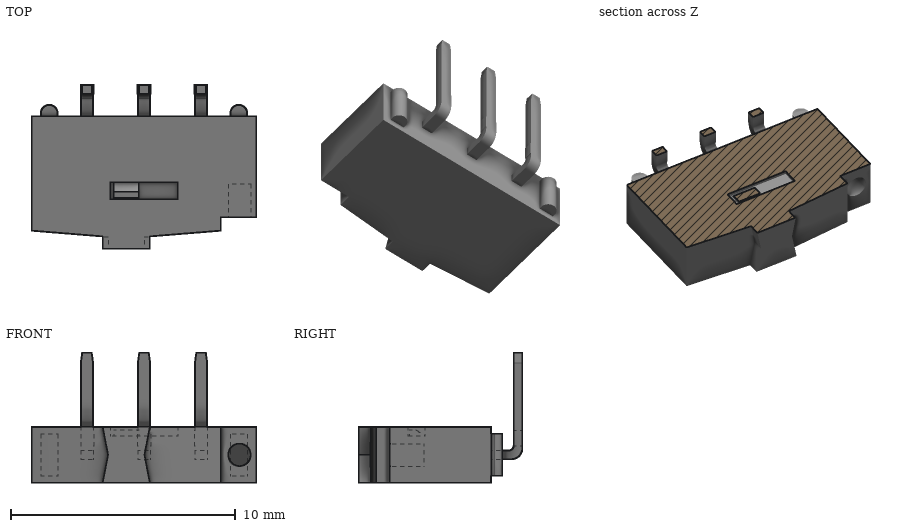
import cadquery as cq


length = 10.0
housing_depth = 4.5
height = 2.5
mid_height = height / 2

hole_diameter = 1.0
hole_depth = 1.5
hole_from_right = 0.75

slider_length = 8.42
slider_edge_depth = 0.6
slider_center_depth = 0.94
slider_center = -length / 2 + slider_length / 2
knob_reach = 1.4
knob_width = 2.1
knob_waist = 1.62

window_length = 3.02
window_width = 0.76
window_front = 0.8
window_floor_depth = 0.4
tab_length = 1.12
tab_from_window_end = 0.16
tab_height = 0.27
tab_ramp_run = 0.42
tab_front_gap = 0.06

peg_width = 0.75
peg_reach = 0.51
peg_side_reach = 0.15
peg_height = 1.88
peg_spacing = 8.44

terminal_pitch = 2.54
terminal_width = 0.55
terminal_thickness = 0.4
terminal_reach = 1.4
terminal_top = 5.8
bend_inner_radius = 0.2
bend_outer_radius = 0.5
tip_width = 0.43
tip_length = 0.44

bump_reach = 0.025
bump_height = 0.7


def box(x_start, y_start, z_start, x_size, y_size, z_size):
    """Box placed by its lowest corner."""
    return cq.Workplane("XY").box(x_size, y_size, z_size, centered=False).translate((x_start, y_start, z_start))


def make_housing():
    housing = box(-length / 2, 0, 0, length, housing_depth, height)
    window = box(-window_length / 2, window_front, height - window_floor_depth,
                 window_length, window_width, window_floor_depth)
    hole = (
        cq.Workplane("XZ")
        .center(length / 2 - hole_from_right, mid_height)
        .circle(hole_diameter / 2)
        .extrude(-hole_depth)
    )
    return housing.cut(window).cut(hole)


def make_tab():
    """Tab on the window floor: flat at the front, ramping down to the rear wall."""
    floor = height - window_floor_depth
    top = floor + tab_height
    front = window_front + tab_front_gap
    rear = window_front + window_width
    return (
        cq.Workplane("YZ", origin=(-window_length / 2 + tab_from_window_end, 0, 0))
        .moveTo(front, floor)
        .lineTo(front, top)
        .lineTo(rear - tab_ramp_run, top)
        .lineTo(rear, floor)
        .close()
        .extrude(tab_length)
    )


def make_slider():
    """Full-height plate with two sloping wings and a waisted knob in the middle."""
    half_length = slider_length / 2
    wings = (
        cq.Workplane("XY", origin=(slider_center, 0, 0))
        .moveTo(-half_length, 0)
        .lineTo(-half_length, -slider_edge_depth)
        .lineTo(0, -slider_center_depth)
        .lineTo(half_length, -slider_edge_depth)
        .lineTo(half_length, 0)
        .close()
        .extrude(height)
    )
    knob = (
        cq.Workplane("XZ", origin=(slider_center, 0, 0))
        .moveTo(-knob_width / 2, 0)
        .lineTo(-knob_waist / 2, mid_height)
        .lineTo(-knob_width / 2, height)
        .lineTo(knob_width / 2, height)
        .lineTo(knob_waist / 2, mid_height)
        .lineTo(knob_width / 2, 0)
        .close()
        .extrude(knob_reach)
    )
    return wings.union(knob)


def make_peg(x_center):
    """Upright peg with a rounded rear end."""
    return (
        cq.Workplane("XY", origin=(x_center, housing_depth, mid_height - peg_height / 2))
        .moveTo(-peg_width / 2, 0)
        .lineTo(-peg_width / 2, peg_side_reach)
        .threePointArc((0, peg_reach), (peg_width / 2, peg_side_reach))
        .lineTo(peg_width / 2, 0)
        .close()
        .extrude(peg_height)
    )


def make_terminal(x_center, bump_sides):
    """Flat strip leaving the rear face and bending straight up to a tapered tip."""
    rear = housing_depth + terminal_reach
    inner_rear = rear - terminal_thickness
    bottom = mid_height - terminal_thickness / 2
    top = bottom + terminal_thickness
    inner_bend_end = top + bend_inner_radius
    strip = (
        cq.Workplane("YZ", origin=(x_center, 0, 0))
        .moveTo(housing_depth, bottom)
        .lineTo(rear - bend_outer_radius, bottom)
        .radiusArc((rear, bottom + bend_outer_radius), -bend_outer_radius)
        .lineTo(rear, terminal_top)
        .lineTo(inner_rear, terminal_top)
        .lineTo(inner_rear, inner_bend_end)
        .radiusArc((inner_rear - bend_inner_radius, top), bend_inner_radius)
        .lineTo(housing_depth, top)
        .close()
        .extrude(terminal_width / 2, both=True)
    )
    tip_taper = (terminal_width - tip_width) / 2
    for side in (-1, 1):
        edge = side * terminal_width / 2
        corner = (
            cq.Workplane("XZ", origin=(x_center, inner_rear, 0))
            .moveTo(edge, terminal_top - tip_length)
            .lineTo(edge, terminal_top)
            .lineTo(edge - side * tip_taper, terminal_top)
            .close()
            .extrude(-terminal_thickness)
        )
        strip = strip.cut(corner)
    for side in bump_sides:
        bump_center = x_center + side * terminal_width / 2
        bump = box(bump_center - bump_reach, inner_rear, inner_bend_end,
                   2 * bump_reach, terminal_thickness, bump_height)
        strip = strip.union(bump)
    return strip


result = make_housing().union(make_tab()).union(make_slider())

for side in (-1, 1):
    result = result.union(make_peg(side * peg_spacing / 2))

for position, bump_sides in ((-1, (1,)), (0, (-1, 1)), (1, (-1,))):
    result = result.union(make_terminal(position * terminal_pitch, bump_sides))